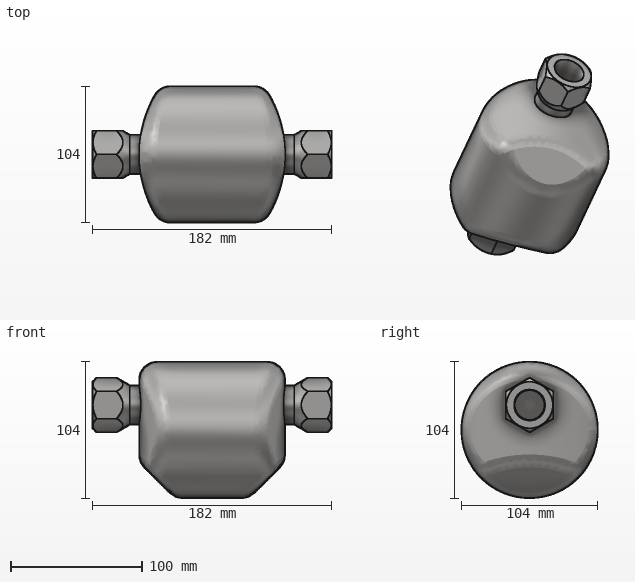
import cadquery as cq
import math

overall_length = 182
half_length = overall_length / 2

body_diameter = 104.0
body_radius = body_diameter / 2
body_length = 111.2
end_bow_radius = 91
slope_reach = 80
end_fillet = 14.0

fitting_height = 19.0
neck_diameter = 30.0
neck_radius = neck_diameter / 2
neck_end = 62.6
hex_across_flats = 36.0
hex_across_corners = hex_across_flats / math.cos(math.radians(30))
hex_corner_radius = hex_across_corners / 2
flare_angle = 30
nut_face_radius = 17.7
bore_diameter = 22.5
bore_radius = bore_diameter / 2
bore_depth = half_length - body_length / 2
socket_diameter = 23.7
socket_radius = socket_diameter / 2
socket_depth = 12.0
socket_half_angle = math.degrees(math.atan((socket_radius - bore_radius) / socket_depth))


def body():
    half_body = body_length / 2
    barrel = cq.Workplane("YZ").circle(body_radius).extrude(half_body, both=True)

    edge_x = half_body - end_bow_radius + math.sqrt(end_bow_radius**2 - body_radius**2)
    plan = (
        cq.Workplane("XY")
        .moveTo(-edge_x, -body_radius)
        .lineTo(edge_x, -body_radius)
        .threePointArc((half_body, 0), (edge_x, body_radius))
        .lineTo(-edge_x, body_radius)
        .threePointArc((-half_body, 0), (-edge_x, -body_radius))
        .close()
        .extrude(body_radius, both=True)
    )

    slope_top = half_body - slope_reach
    slope_foot = slope_reach - body_radius
    side = (
        cq.Workplane("XZ")
        .polyline([
            (-half_body, body_radius),
            (half_body, body_radius),
            (half_body, slope_top),
            (slope_foot, -body_radius),
            (-slope_foot, -body_radius),
            (-half_body, slope_top),
        ])
        .close()
        .extrude(body_radius, both=True)
    )
    trimmed = barrel.intersect(plan).intersect(side)
    return trimmed.edges("not |X").fillet(end_fillet)


def fitting():
    """Neck and hexagonal nut on the +X end."""
    face_chamfer = hex_corner_radius - nut_face_radius
    flare_length = (hex_corner_radius - neck_radius) / math.tan(math.radians(flare_angle))
    flare_end = neck_end + flare_length

    turned = (
        cq.Workplane("XZ")
        .polyline([
            (0, 0),
            (0, neck_radius),
            (neck_end, neck_radius),
            (flare_end, hex_corner_radius),
            (half_length - face_chamfer, hex_corner_radius),
            (half_length, nut_face_radius),
            (half_length, 0),
        ])
        .close()
        .revolve(360, (0, 0), (1, 0))
    )
    hexagon = (
        cq.Workplane("YZ")
        .transformed(rotate=(0, 0, 90))
        .polygon(6, hex_across_corners)
        .extrude(half_length)
    )
    nut_face = cq.Workplane("YZ", origin=(half_length, 0, 0))
    socket = nut_face.circle(socket_radius).extrude(-socket_depth, taper=socket_half_angle)
    bore = nut_face.circle(bore_radius).extrude(-bore_depth)
    return turned.intersect(hexagon).cut(socket).cut(bore).translate((0, 0, fitting_height))


right_fitting = fitting()
left_fitting = right_fitting.mirror("YZ")
result = body().union(right_fitting).union(left_fitting)